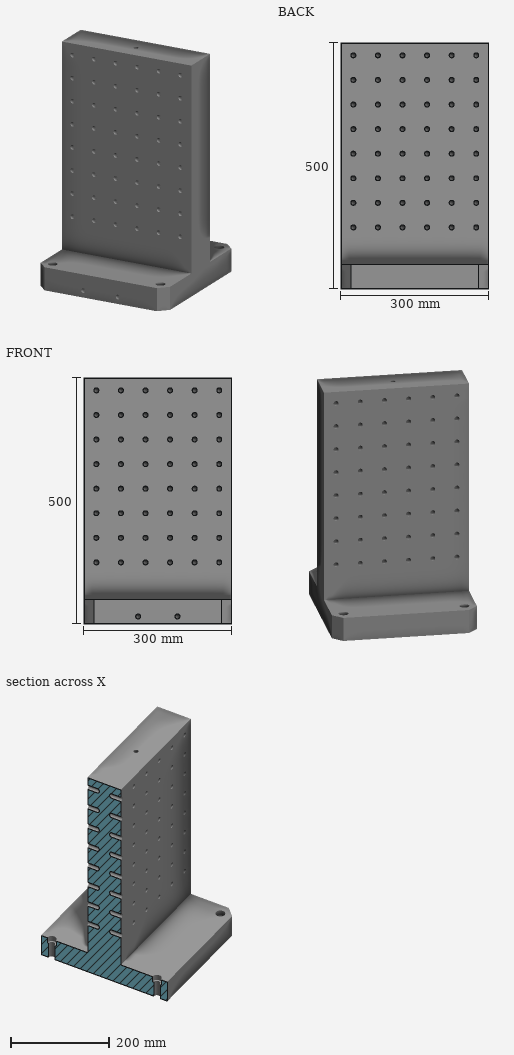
import math

import cadquery as cq

base_side = 300.0
base_height = 50.0
corner_chamfer = 20.0

total_height = 500.0
wall_thickness = 80.0

hole_diameter = 10.0
hole_depth = 25.0
drill_point_angle = 118.0

grid_pitch = 50.0
grid_columns = 6
grid_rows = 8
grid_top_margin = 25.0

mount_spacing = 250.0
mount_diameter = 14.0
mount_bore_diameter = 20.0
mount_bore_depth = 13.0

edge_hole_spacing = 80.0
edge_hole_height = 15.0


def make_base():
    plate = cq.Workplane("XY").box(base_side, base_side, base_height, centered=(True, True, False))
    return plate.edges("|Z").chamfer(corner_chamfer)


def make_wall():
    return cq.Workplane("XY").box(base_side, wall_thickness, total_height, centered=(True, True, False))


def drilled_hole(entry, direction):
    """Cutter for one blind hole that starts at entry and runs along direction."""
    radius = hole_diameter / 2
    point_length = radius / math.tan(math.radians(drill_point_angle / 2))
    start = cq.Vector(*entry)
    axis = cq.Vector(*direction)
    bore = cq.Solid.makeCylinder(radius, hole_depth, start, axis)
    point = cq.Solid.makeCone(radius, 0, point_length, start + axis * hole_depth, axis)
    return bore.fuse(point)


def wall_grid_holes():
    """Cutters for the hole grid, mirrored on the front and back of the wall."""
    first_x = -(grid_columns - 1) * grid_pitch / 2
    first_z = total_height - grid_top_margin
    holes = []
    for side in (-1, 1):
        for column in range(grid_columns):
            for row in range(grid_rows):
                x = first_x + column * grid_pitch
                z = first_z - row * grid_pitch
                holes.append(drilled_hole((x, side * wall_thickness / 2, z), (0, -side, 0)))
    return holes


def top_hole():
    return drilled_hole((0, 0, total_height), (0, 0, -1))


def base_edge_holes():
    return [
        drilled_hole((side * edge_hole_spacing / 2, -base_side / 2, edge_hole_height), (0, 1, 0))
        for side in (-1, 1)
    ]


def cut_mounting_holes(body):
    return (
        body.copyWorkplane(cq.Workplane("XY", origin=(0, 0, base_height)))
        .rect(mount_spacing, mount_spacing, forConstruction=True)
        .vertices()
        .cboreHole(mount_diameter, mount_bore_diameter, mount_bore_depth)
    )


body = cut_mounting_holes(make_base().union(make_wall()))
drillings = wall_grid_holes() + base_edge_holes() + [top_hole()]
result = body.cut(cq.Workplane(cq.Compound.makeCompound(drillings)))